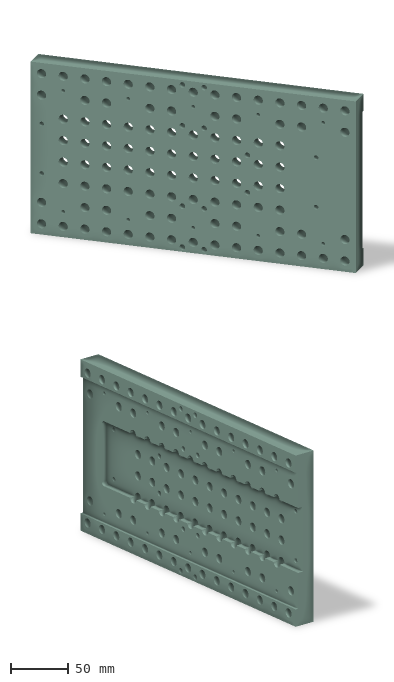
import cadquery as cq

length = 300.0
columns = 15
rows = 8
pitch = length / columns
height = rows * pitch
thickness = pitch
front_y = -thickness / 2
back_y = thickness / 2

pad_height = 16.2
channel_depth = 2.7

pocket_height = 60.5
pocket_depth = 5.5
pocket_corner_radius = 3.0

grid_diameter = 8.5
outer_row_columns = range(columns)
inner_row_columns = range(1, 12)
second_row_columns = [0, 2, 3, 5, 6, 8, 9, 11, 12, 14]

small_diameter = 3.3
small_z = 56.5
small_spacing = 3 * pitch
small_count = 5

mount_diameter = 4.2
mount_z = 23.0
mount_edge_margin = pitch / 2
mount_left_x = -length / 2 + mount_edge_margin
mount_right_x = 113.5
pocket_end_x = mount_right_x + mount_edge_margin

dowel_diameter = 5.0
dowel_outer_z = 75.5
dowel_inner_z = 37.5
dowel_pair_x = pitch / 2
side_dowel_x = 2.5 * pitch
side_dowel_z = 17.5


def block(x_start, x_end, y_start, y_end, z_size):
    """Box between the given X and Y limits, centred on Z = 0."""
    return (
        cq.Workplane("XY")
        .box(x_end - x_start, y_end - y_start, z_size)
        .translate(((x_start + x_end) / 2, (y_start + y_end) / 2, 0))
    )


def through_holes(points, diameter):
    """Cylinders along Y through the full thickness at the given (x, z) points."""
    return (
        cq.Workplane("XZ", origin=(0, front_y, 0))
        .pushPoints(points)
        .circle(diameter / 2)
        .extrude(-thickness)
    )


def mirrored_in_z(x_values, z):
    """Points at every x, both above and below the centre line."""
    return [(x, side * z) for x in x_values for side in (1, -1)]


def grid_points():
    """Grid positions, from the outermost row pair to the innermost."""
    row_pairs = [
        outer_row_columns,
        second_row_columns,
        inner_row_columns,
        inner_row_columns,
    ]
    points = []
    for index, row_columns in enumerate(row_pairs):
        z = ((rows - 1) / 2 - index) * pitch
        x_values = [(column - (columns - 1) / 2) * pitch for column in row_columns]
        points += mirrored_in_z(x_values, z)
    return points


plate = block(-length / 2, length / 2, front_y, back_y, height)
channel_floor_y = back_y - channel_depth
channel = block(-length / 2, length / 2, channel_floor_y, back_y, height - 2 * pad_height)

pocket_floor_y = channel_floor_y - pocket_depth
pocket = (
    block(-length / 2, pocket_end_x, pocket_floor_y, back_y, pocket_height)
    .edges("|Y and >X")
    .fillet(pocket_corner_radius)
)

small_x = [(i - (small_count - 1) / 2) * small_spacing for i in range(small_count)]
small_points = mirrored_in_z(small_x, small_z)
mount_points = mirrored_in_z([mount_left_x, mount_right_x], mount_z)
dowel_points = (
    mirrored_in_z([-dowel_pair_x, dowel_pair_x], dowel_outer_z)
    + mirrored_in_z([-dowel_pair_x, dowel_pair_x], dowel_inner_z)
    + mirrored_in_z([side_dowel_x], side_dowel_z)
)

result = (
    plate.cut(channel)
    .cut(pocket)
    .cut(through_holes(grid_points(), grid_diameter))
    .cut(through_holes(small_points, small_diameter))
    .cut(through_holes(mount_points, mount_diameter))
    .cut(through_holes(dowel_points, dowel_diameter))
)